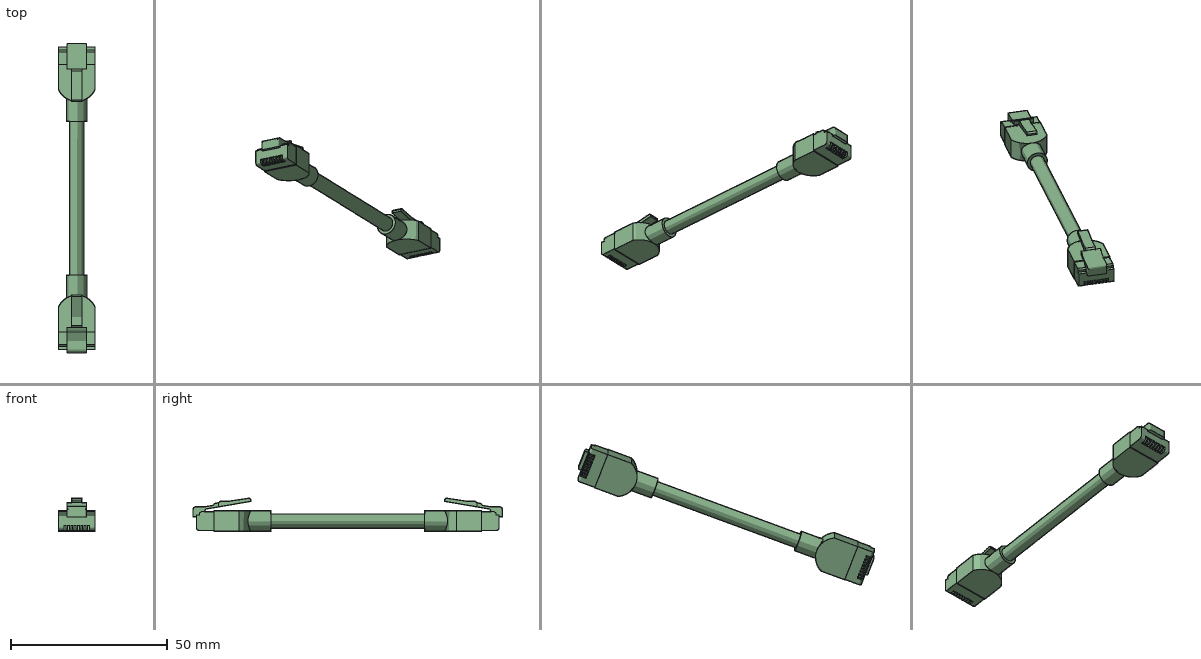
import cadquery as cq


total_length = 98.8
half_length = total_length / 2
cable_diameter = 4.6
sleeve_diameter = 6.6
sleeve_end_depth = 24.9

boot_width = 11.8
half_width = boot_width / 2
boot_height = sleeve_diameter
axis_z = boot_height / 2
boot_start_depth = 6.7
boot_round_start_depth = 14.7
boot_round_y = half_length - boot_round_start_depth
boot_end_depth = 18.5

body_width = 11.7
body_front_depth = 1.1
body_inset = 0.3
body_bottom = body_inset
body_top = boot_height - body_inset
body_bottom_radius = 0.9
shoulder_depth = 2.2
shoulder_low_z = 5.2
shoulder_high_z = 5.9
shoulder_bevel_end_depth = 2.8

slot_count = 8
slot_row_span = 7.4
slot_pitch = slot_row_span / (slot_count - 1)
slot_width = 0.6
slot_top_z = 2.0
slot_length = 2.0

latch_width = 6.3
latch_bottom = 4.6
latch_top = 7.9
latch_root_depth = 3.7
latch_slope_depth = 3.8
latch_top_radius = 1.0
latch_side_radius = 0.5
lever_width = 3.3
lever_under_start = (4.15, 7.1)
lever_under_end = (18.5, 9.6)
hump_foot = (6.1, 8.3)
hump_crest_depth = 7.3
hump_end_depth = 8.2
hump_top = 9.2
grip_start_depth = 8.8
grip_slope_depth = 11.5
grip_top = 9.7
lever_top_depth = 18.0
lever_top = 10.7
lever_tip = (18.6, 10.2)

spring_slope = (hump_foot[1] - latch_top) / (hump_foot[0] - latch_slope_depth)
hump_crest = (hump_crest_depth, hump_top - spring_slope * (hump_end_depth - hump_crest_depth))
hump_middle = ((hump_foot[0] + hump_crest[0]) / 2, (hump_foot[1] + hump_crest[1]) / 2)

profile_plane = cq.Plane(origin=(0, half_length, 0), xDir=(0, -1, 0), normal=(-1, 0, 0))


def extrude_profile(points, width):
    """Extrude a (depth, z) outline across X, centred on the plug."""
    return cq.Workplane(profile_plane).polyline(points).close().extrude(width / 2, both=True)


def lever_under_z(depth):
    """Height of the sloping lever underside at a given depth."""
    start_depth, start_z = lever_under_start
    end_depth, end_z = lever_under_end
    return start_z + (end_z - start_z) * (depth - start_depth) / (end_depth - start_depth)


def make_boot():
    """Flat boot whose cable end is rounded in plan."""
    start_y = half_length - boot_start_depth
    return (
        cq.Workplane("XY")
        .moveTo(-half_width, start_y)
        .lineTo(-half_width, boot_round_y)
        .threePointArc((0, half_length - boot_end_depth), (half_width, boot_round_y))
        .lineTo(half_width, start_y)
        .close()
        .extrude(boot_height)
    )


def make_body():
    """Plug body with a stepped shoulder, a rounded lower front edge and contact slots."""
    body = extrude_profile(
        [
            (boot_start_depth, body_bottom),
            (body_front_depth, body_bottom),
            (body_front_depth, shoulder_low_z),
            (shoulder_depth, shoulder_low_z),
            (shoulder_depth, shoulder_high_z),
            (shoulder_bevel_end_depth, body_top),
            (boot_start_depth, body_top),
        ],
        body_width,
    )
    body = body.faces(">Y").edges("<Z").fillet(body_bottom_radius)
    slots = (
        cq.Workplane("XY")
        .rarray(slot_pitch, 1, slot_count, 1)
        .rect(slot_width, 2 * slot_length)
        .extrude(slot_top_z)
        .translate((0, half_length - body_front_depth, 0))
    )
    return body.cut(slots)


def make_latch():
    """Latch block with rounded front edges and a humped root for the lever."""
    latch = (
        cq.Workplane(profile_plane)
        .polyline(
            [
                (hump_end_depth, hump_top),
                (hump_end_depth, lever_under_z(hump_end_depth)),
                lever_under_start,
                (latch_root_depth, body_top),
                (latch_root_depth, latch_bottom),
                (0, latch_bottom),
                (0, latch_top),
                (latch_slope_depth, latch_top),
                hump_foot,
            ]
        )
        .tangentArcPoint(hump_middle, relative=False)
        .tangentArcPoint(hump_crest, relative=False)
        .close()
        .extrude(latch_width / 2, both=True)
    )
    latch = latch.faces(">Y").edges(">Z").fillet(latch_top_radius)
    rounded_sides = (
        cq.Workplane("XY")
        .rect(latch_width, total_length)
        .extrude(lever_top)
        .faces(">Y")
        .edges("|Z")
        .fillet(latch_side_radius)
    )
    return latch.intersect(rounded_sides)


def make_lever():
    """Narrow release lever that rises toward the cable."""
    return extrude_profile(
        [
            (hump_crest_depth, lever_under_z(hump_crest_depth)),
            lever_under_end,
            lever_tip,
            (lever_top_depth, lever_top),
            (grip_slope_depth, grip_top),
            (grip_start_depth, grip_top),
            (hump_end_depth, hump_top),
            hump_crest,
        ],
        lever_width,
    )


def make_cylinder(diameter, start_y, length):
    """Cylinder on the cable axis, running from start_y toward -Y."""
    return cq.Workplane("XZ", origin=(0, start_y, axis_z)).circle(diameter / 2).extrude(length)


def make_plug():
    """Complete plug at the +Y end, with its strain relief sleeve."""
    sleeve_length = sleeve_end_depth - boot_round_start_depth
    sleeve = make_cylinder(sleeve_diameter, boot_round_y, sleeve_length)
    return make_boot().union(sleeve).union(make_body()).union(make_latch()).union(make_lever())


plug = make_plug()
cable = make_cylinder(cable_diameter, boot_round_y, 2 * boot_round_y)
result = cable.union(plug).union(plug.mirror("XZ"))